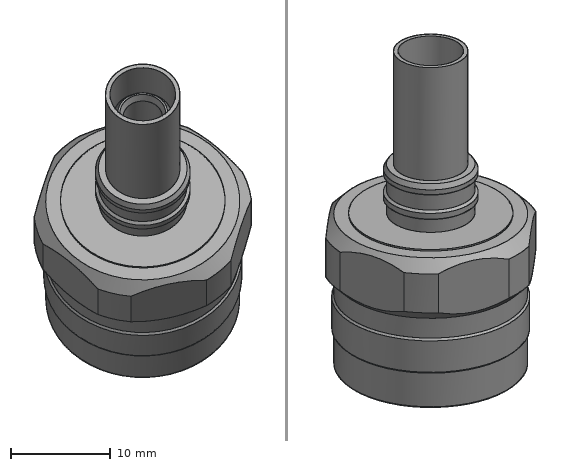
import cadquery as cq

total_height = 35.4

body_radius = 9.77
body_chamfer = 0.18
band_radius = 10.0
band_bottom = 3.95
band_top = 7.93
band_chamfer = band_radius - body_radius

nut_sides = 6
nut_across_flats = 20.53
nut_corner_radius = 22.0 / 2
nut_bottom = 10.15
nut_top = 17.0
nut_turn = 30
nut_chamfer = nut_corner_radius - body_radius
washer_radius = 8.3
washer_top = 17.17

neck_radius = 4.45
neck_top = 22.65
ring_radius = 4.78
ring_bevel = 0.2
lower_ring_bottom = 18.62
lower_ring_top = 19.7
upper_ring_bottom = 21.38
upper_ring_bevel = 0.53

tube_radius = 3.75
tube_bore_radius = 3.3
tube_bore_floor = neck_top
sleeve_radius = 2.97
sleeve_shoulder_radius = 2.8
sleeve_rim_outer = 2.5
sleeve_rim_inner = 2.3
sleeve_bore_radius = 2.0
sleeve_top = 32.18
sleeve_shoulder_bevel = 0.18
sleeve_outer_bevel = 0.5
sleeve_inner_bevel = 0.7
pin_radius = 0.67
pin_height = 0.18


def turned(points):
    """Revolve a closed (radius, height) outline about the Z axis."""
    return cq.Workplane("XZ").polyline(points).close().revolve(360, (0, 0, 0), (0, 1, 0))


def disc(radius, bottom, top):
    return cq.Workplane("XY").workplane(offset=bottom).circle(radius).extrude(top - bottom)


def ring(inner, outer, bottom, top, bottom_bevel, top_bevel):
    """Solid disc whose rim slopes from the inner to the outer radius at both ends."""
    return turned([
        (0, bottom),
        (inner, bottom),
        (outer, bottom + bottom_bevel),
        (outer, top - top_bevel),
        (inner, top),
        (0, top),
    ])


def make_body():
    body = disc(body_radius, 0, nut_bottom).faces("<Z").chamfer(body_chamfer)
    band = ring(body_radius, band_radius, band_bottom, band_top, band_chamfer, band_chamfer)
    return body.union(band)


def make_nut():
    prism = (
        cq.Workplane("XY")
        .workplane(offset=nut_bottom)
        .transformed(rotate=(0, 0, nut_turn))
        .polygon(nut_sides, nut_across_flats, circumscribed=True)
        .extrude(nut_top - nut_bottom)
    )
    turned_blank = ring(body_radius, nut_corner_radius, nut_bottom, nut_top, nut_chamfer, nut_chamfer)
    return prism.intersect(turned_blank).union(disc(washer_radius, nut_top, washer_top))


def make_neck():
    neck = disc(neck_radius, washer_top, neck_top)
    lower = ring(neck_radius, ring_radius, lower_ring_bottom, lower_ring_top, ring_bevel, ring_bevel)
    upper = ring(neck_radius, ring_radius, upper_ring_bottom, neck_top, ring_bevel, upper_ring_bevel)
    return neck.union(lower).union(upper)


def make_tube():
    tube = disc(tube_radius, neck_top, total_height)
    return tube.cut(disc(tube_bore_radius, tube_bore_floor, total_height))


def make_sleeve():
    """Sleeve with a bevelled rim, standing on the floor of the tube bore."""
    return turned([
        (sleeve_bore_radius, tube_bore_floor),
        (sleeve_radius, tube_bore_floor),
        (sleeve_radius, sleeve_top - sleeve_outer_bevel - sleeve_shoulder_bevel),
        (sleeve_shoulder_radius, sleeve_top - sleeve_outer_bevel),
        (sleeve_rim_outer, sleeve_top),
        (sleeve_rim_inner, sleeve_top),
        (sleeve_bore_radius, sleeve_top - sleeve_inner_bevel),
    ])


pin = disc(pin_radius, tube_bore_floor, tube_bore_floor + pin_height)
result = make_body().union(make_nut()).union(make_neck()).union(make_tube())
result = result.union(make_sleeve()).union(pin)